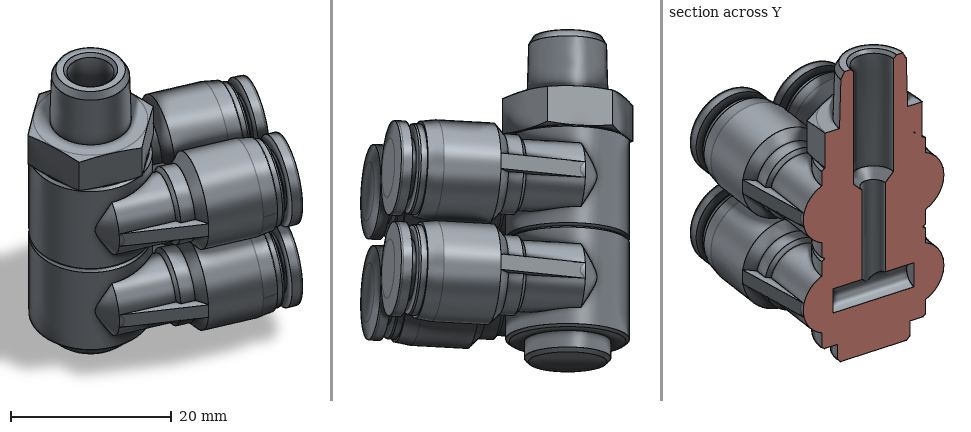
import cadquery as cq
import math

total_height = 41.6
housing_radius = 7.7
housing_edge = 0.4
housing_edge_height = 0.3
housing_pitch = 13.0
housing_bottom = 2.6
hex_bottom = housing_bottom + 2 * housing_pitch
hex_top = 33.65

collar_radius = 10.77 / 2
collar_edge = 0.5

hex_across_flats = 14.4
hex_corner_radius = hex_across_flats / math.sqrt(3)
hex_face_radius = 7.1
hex_edge_height = 0.3

thread_root_radius = 5.08
thread_tip_radius = 4.85
thread_edge_height = 0.95
thread_face_radius = 4.33

bore_radius = 5.85 / 2
bore_mouth_radius = 3.35
bore_cone_top = 24.95
bore_cone_height = 1.25
bore_mouth_depth = bore_mouth_radius - bore_radius
passage_radius = 3.4 / 2

branch_spacing = 11.95
part_width = 24.5
branch_x = branch_spacing / 2
sleeve_radius = part_width / 2 - branch_x
shank_radius = 4.45
tip_height = 3.1
step_radius = 5.0
step_start = 7.55
step_edge = 0.45
step_end = 9.9
sleeve_start = 11.15
sleeve_taper_start = 18.4
sleeve_taper_end = 20.4
sleeve_end_radius = 6.0
lip_radius = 11.3 / 2
lip_end = 21.42
lip_edge = 0.1
lip_edge_length = 0.25
neck_radius = 7.75 / 2
neck_flare_start = 22.05
neck_flare = 0.15

ring_radius = 11.8 / 2
ring_start = 22.35
ring_edge_start = 23.5
ring_edge = 0.05
ring_edge_length = 0.25
ring_end = 24.13
ring_face_radius = 3.7

rib_thickness = 2.0


def revolve_about_z(points):
    return cq.Workplane("XZ").polyline(points).close().revolve(360, (0, 0, 0), (0, 1, 0))


def make_housing(bottom):
    """Round housing with both rims bevelled."""
    top = bottom + housing_pitch
    rim_radius = housing_radius - housing_edge
    return revolve_about_z([
        (0, bottom),
        (rim_radius, bottom),
        (housing_radius, bottom + housing_edge_height),
        (housing_radius, top - housing_edge_height),
        (rim_radius, top),
        (0, top),
    ])


def make_collar():
    return revolve_about_z([
        (0, 0),
        (collar_radius - collar_edge, 0),
        (collar_radius, collar_edge),
        (collar_radius, housing_bottom),
        (0, housing_bottom),
    ])


def make_hexagon():
    """Hexagon with two corners on the Y axis, trimmed by a shallow cone at each end."""
    prism = (
        cq.Workplane("XY", origin=(0, 0, hex_bottom))
        .polygon(6, 2 * hex_corner_radius)
        .extrude(hex_top - hex_bottom)
        .rotate((0, 0, 0), (0, 0, 1), 30)
    )
    envelope = revolve_about_z([
        (0, hex_bottom),
        (hex_face_radius, hex_bottom),
        (hex_corner_radius, hex_bottom + hex_edge_height),
        (hex_corner_radius, hex_top - hex_edge_height),
        (hex_face_radius, hex_top),
        (0, hex_top),
    ])
    return prism.intersect(envelope)


def make_thread():
    return revolve_about_z([
        (0, hex_top),
        (thread_root_radius, hex_top),
        (thread_tip_radius, total_height - thread_edge_height),
        (thread_face_radius, total_height),
        (0, total_height),
    ])


def make_branch(x, z):
    """Shank with a pointed end, stepped sleeve and release ring, turned about a Y-parallel axis."""
    return (
        cq.Workplane("XY")
        .moveTo(0, -tip_height)
        .lineTo(shank_radius, 0)
        .lineTo(shank_radius, step_start)
        .lineTo(step_radius, step_start + step_edge)
        .lineTo(step_radius, step_end)
        .lineTo(sleeve_radius, sleeve_start)
        .lineTo(sleeve_radius, sleeve_taper_start)
        .lineTo(sleeve_end_radius, sleeve_taper_end)
        .lineTo(lip_radius, sleeve_taper_end)
        .lineTo(lip_radius, lip_end - lip_edge_length)
        .lineTo(lip_radius - lip_edge, lip_end)
        .lineTo(neck_radius, lip_end)
        .lineTo(neck_radius, neck_flare_start)
        .lineTo(neck_radius + neck_flare, ring_start)
        .lineTo(ring_radius, ring_start)
        .lineTo(ring_radius, ring_edge_start)
        .lineTo(ring_radius - ring_edge, ring_edge_start + ring_edge_length)
        .lineTo(ring_face_radius, ring_end)
        .lineTo(0, ring_end)
        .close()
        .revolve(360, (0, 0, 0), (0, 1, 0))
        .translate((x, 0, z))
    )


def make_rib(z):
    """Flat trapezoid from the shank tips out to the widest part of the sleeves."""
    narrow_half = branch_x + math.sqrt(shank_radius**2 - (rib_thickness / 2) ** 2)
    wide_half = part_width / 2
    return (
        cq.Workplane("XY", origin=(0, 0, z - rib_thickness / 2))
        .polyline([
            (-narrow_half, 0),
            (narrow_half, 0),
            (wide_half, sleeve_start),
            (-wide_half, sleeve_start),
        ])
        .close()
        .extrude(rib_thickness)
    )


def make_bore():
    """Bevelled mouth and bore, narrowing through a cone to a passage with a trough-shaped floor."""
    passage_axis_z = housing_bottom + housing_pitch / 2
    bore = revolve_about_z([
        (0, passage_axis_z),
        (passage_radius, passage_axis_z),
        (passage_radius, bore_cone_top - bore_cone_height),
        (bore_radius, bore_cone_top),
        (bore_radius, total_height - bore_mouth_depth),
        (bore_mouth_radius, total_height),
        (0, total_height),
    ])
    floor = (
        cq.Workplane("YZ", origin=(-branch_x, 0, passage_axis_z))
        .circle(passage_radius)
        .extrude(branch_spacing)
    )
    return bore.union(floor)


body = make_collar().union(make_hexagon()).union(make_thread())
for level in range(2):
    bottom = housing_bottom + level * housing_pitch
    branch_z = bottom + housing_pitch / 2
    body = body.union(make_housing(bottom)).union(make_rib(branch_z))
    for side in (-1, 1):
        body = body.union(make_branch(side * branch_x, branch_z))

result = body.cut(make_bore())